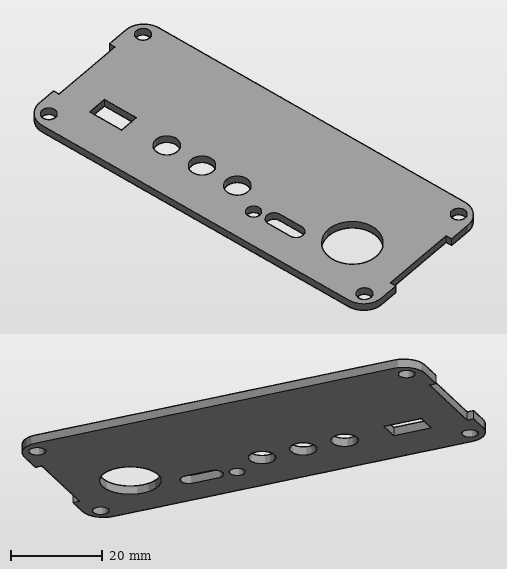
import cadquery as cq

length = 96.9
width = 40.0
thickness = 2.0
corner_radius = 5.1

screw_diameter = 3.7
screw_inset = 3.8

notch_depth = 1.55
notch_top = 9.2
notch_bottom = -10.0

row_y = -7.6
button_diameter = 6.0
button_pitch = 10.0
button_count = 3
middle_button_x = -8.4
window_x = -33.6
window_length = 9.0
window_width = 5.0

small_hole_diameter = 3.5
small_hole_center = (9.5, -11.6)

slot_length = 10.1
slot_width = 3.9
slot_center = (17.5, -10.6)

large_hole_diameter = 13.5
large_hole_center = (32.5, -5.5)


def make_plate():
    """Rounded plate with its underside on Z = 0."""
    plate = cq.Workplane("XY").box(length, width, thickness, centered=(True, True, False))
    return plate.edges("|Z").fillet(corner_radius)


def cut_notches(plate):
    """Cut the same notch into both short ends."""
    notch_y = (notch_top + notch_bottom) / 2
    notch_width = notch_top - notch_bottom
    ends = [(side * length / 2, notch_y) for side in (-1, 1)]
    notches = cq.Workplane("XY").pushPoints(ends).rect(2 * notch_depth, notch_width).extrude(thickness)
    return plate.cut(notches)


def cut_round_holes(plate, diameter, centers):
    """Cut equal round holes through the plate."""
    return plate.cut(cq.Workplane("XY").pushPoints(centers).circle(diameter / 2).extrude(thickness))


screw_x = length / 2 - screw_inset
screw_y = width / 2 - screw_inset
screw_centers = [(sx * screw_x, sy * screw_y) for sx in (-1, 1) for sy in (-1, 1)]

first_button_x = middle_button_x - button_pitch * (button_count - 1) / 2
button_centers = [(first_button_x + i * button_pitch, row_y) for i in range(button_count)]

window = cq.Workplane("XY").center(window_x, row_y).rect(window_length, window_width).extrude(thickness)
slot = cq.Workplane("XY").center(*slot_center).slot2D(slot_length, slot_width).extrude(thickness)

result = cut_notches(make_plate())
result = cut_round_holes(result, screw_diameter, screw_centers)
result = cut_round_holes(result, button_diameter, button_centers)
result = cut_round_holes(result, small_hole_diameter, [small_hole_center])
result = cut_round_holes(result, large_hole_diameter, [large_hole_center])
result = result.cut(window).cut(slot)